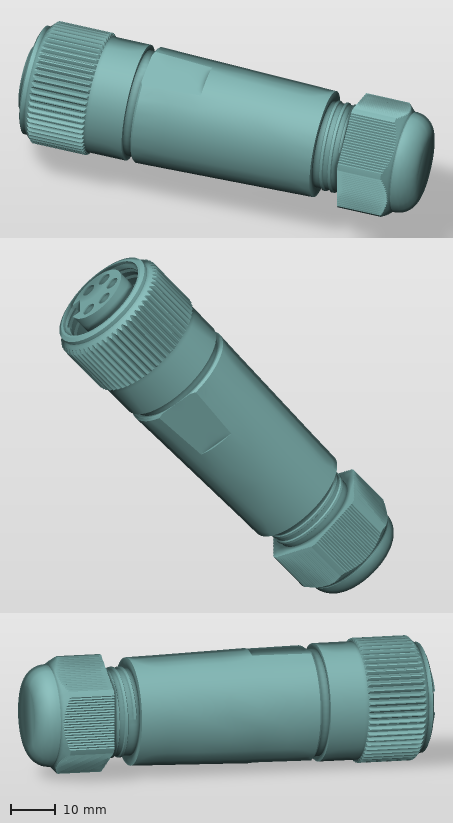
import cadquery as cq
import math


TOTAL_LENGTH = 92.75
COLLAR_FRONT = 1.5
COLLAR_LIP_END = 1.95
COLLAR_CONE_START = 2.9
KNURL_START = 4.45
KNURL_END = 16.8
RING_START = 17.2
RING_END = 25.9
BODY_START = 27.8
BODY_END = 69.4
NUT_START = 75.7
DOME_START = 88.0

LIP_FACE_RADIUS = 11.5
LIP_RADIUS = 12.4
KNURL_RADIUS = 14.0
KNURL_GROOVES = 58
KNURL_GROOVE_WIDTH = 1.3
KNURL_ROOT_WIDTH = 0.4
RING_RADIUS = 13.3
KNURL_DEPTH = KNURL_RADIUS - RING_RADIUS

MOUTH_RADIUS = 10.9
LINER_RADIUS = 11.2
BORE_RADIUS = 10.2
MOUTH_DEPTH = 0.7
SHOULDER_X = 7.9
SHOULDER_RADIUS = 9.1
FLOOR_X = 9.7
INSERT_RADIUS = 7.2
CONTACT_RADIUS = 1.6
CONTACT_CIRCLE_RADIUS = 4.5
CONTACT_DEPTH = 0.5
CONTACT_POSITIONS = 6
KEYWAY_WIDTH = 4.8
KEYWAY_FLOOR = 4.8

NECK_RADIUS = 12.1
BODY_FRONT_RADIUS = 13.3
BODY_REAR_RADIUS = 12.15
BODY_EDGE = 0.5
FLAT_LENGTH = 13.9
FLAT_HEIGHT = BODY_REAR_RADIUS

THREAD_PITCH = 1.95
THREAD_CORE_RADIUS = 9.8
THREAD_CREST_RADIUS = 10.2
THREAD_ROOT_WIDTH = 1.1
THREAD_CREST_WIDTH = 0.6
THREAD_START = 70.4
THREAD_LENGTH = 4.6
SOCKET_THREAD_START = 3.0
SOCKET_THREAD_LENGTH = 3.9
THREAD_OVERLAP = 0.2

NUT_CORNER_RADIUS = 13.3
NUT_HALF_FLATS = 11.9
NUT_SIDES = 6
NUT_GROOVES_PER_SIDE = 20
NUT_GROOVE_PITCH = 0.6
NUT_GROOVE_DEPTH = 0.3
NUT_CHAMFER_END = 87.7
NUT_CHAMFER_RADIUS = 11.3
DOME_RADIUS = 11.5
DOME_FILLET = 4.6


def turned(points):
    """Revolve an (x, radius) outline, closed along the axis, about X."""
    outline = [(points[0][0], 0), *points, (points[-1][0], 0)]
    return cq.Workplane("XY").polyline(outline).close().revolve(360, (0, 0), (1, 0))


def cylinder(start, end, radius):
    return turned([(start, radius), (end, radius)])


def helical_ridge(start, length, base_radius, tip_radius):
    """Right-handed trapezoidal thread about X, beginning on the +Y side."""
    half_root = THREAD_ROOT_WIDTH / 2
    half_crest = THREAD_CREST_WIDTH / 2
    helix = cq.Workplane(obj=cq.Wire.makeHelix(THREAD_PITCH, length, base_radius))
    ridge = (
        cq.Workplane("XZ")
        .polyline(
            [
                (base_radius, -half_root),
                (tip_radius, -half_crest),
                (tip_radius, half_crest),
                (base_radius, half_root),
            ]
        )
        .close()
        .sweep(helix, isFrenet=True)
    )
    along_x = ridge.rotate((0, 0, 0), (0, 1, 0), 90).rotate((0, 0, 0), (1, 0, 0), 90)
    return along_x.translate((start, 0, 0))


def make_knurl_grooves():
    """Trapezoidal grooves around the grip, running straight past the tips."""
    half_root = KNURL_ROOT_WIDTH / 2
    half_width = KNURL_GROOVE_WIDTH / 2
    half_outer = 2 * half_width - half_root
    outer = KNURL_RADIUS + KNURL_DEPTH
    groove = (
        cq.Workplane("YZ", origin=(COLLAR_CONE_START, 0, 0))
        .polyline(
            [
                (-half_root, RING_RADIUS),
                (half_root, RING_RADIUS),
                (half_outer, outer),
                (-half_outer, outer),
            ]
        )
        .close()
        .extrude(RING_START - COLLAR_CONE_START)
    )
    grooves = [
        groove.rotate((0, 0, 0), (1, 0, 0), i * 360 / KNURL_GROOVES).val()
        for i in range(KNURL_GROOVES)
    ]
    return cq.Compound.makeCompound(grooves)


def make_grip():
    """Outer shell of the collar, knurled, open where the liner sits."""
    shell = turned(
        [
            (COLLAR_FRONT, LIP_FACE_RADIUS),
            (COLLAR_LIP_END, LIP_RADIUS),
            (COLLAR_CONE_START, LIP_RADIUS),
            (KNURL_START, KNURL_RADIUS),
            (KNURL_END, KNURL_RADIUS),
            (RING_START, RING_RADIUS),
            (RING_END, RING_RADIUS),
        ]
    )
    core = cylinder(COLLAR_FRONT, RING_END, LINER_RADIUS)
    return shell.cut(core).cut(make_knurl_grooves())


def make_liner():
    """Inner part of the collar, with the stepped and threaded socket."""
    liner = cylinder(COLLAR_FRONT, RING_END, LINER_RADIUS)
    mouth_end = COLLAR_FRONT + MOUTH_DEPTH
    cavity = turned(
        [
            (COLLAR_FRONT, MOUTH_RADIUS),
            (mouth_end, MOUTH_RADIUS),
            (mouth_end + MOUTH_RADIUS - BORE_RADIUS, BORE_RADIUS),
            (SHOULDER_X, BORE_RADIUS),
            (SHOULDER_X, SHOULDER_RADIUS),
            (FLOOR_X, SHOULDER_RADIUS),
        ]
    )
    thread = helical_ridge(
        SOCKET_THREAD_START, SOCKET_THREAD_LENGTH, BORE_RADIUS - THREAD_OVERLAP, MOUTH_RADIUS
    )
    return liner.cut(cavity).cut(thread)


def make_insert():
    insert = cylinder(0, FLOOR_X, INSERT_RADIUS)
    for i in range(1, CONTACT_POSITIONS):
        angle = 2 * math.pi * i / CONTACT_POSITIONS
        centre_y = CONTACT_CIRCLE_RADIUS * math.cos(angle)
        centre_z = CONTACT_CIRCLE_RADIUS * math.sin(angle)
        contact = cylinder(0, CONTACT_DEPTH, CONTACT_RADIUS)
        insert = insert.cut(contact.translate((0, centre_y, centre_z)))
    keyway = cq.Workplane("XY").box(
        FLOOR_X, INSERT_RADIUS, KEYWAY_WIDTH, centered=(False, False, True)
    )
    return insert.cut(keyway.translate((0, KEYWAY_FLOOR, 0)))


def make_body():
    neck = cylinder(RING_END, BODY_START, NECK_RADIUS)
    body = turned(
        [
            (BODY_START, BODY_FRONT_RADIUS - BODY_EDGE),
            (BODY_START + BODY_EDGE, BODY_FRONT_RADIUS),
            (BODY_END, BODY_REAR_RADIUS),
        ]
    )
    flat = cq.Workplane("XY").box(
        FLAT_LENGTH, 2 * BODY_FRONT_RADIUS, BODY_FRONT_RADIUS, centered=(False, True, False)
    )
    top_flat = flat.translate((BODY_START, 0, FLAT_HEIGHT))
    return neck.union(body.cut(top_flat).cut(top_flat.mirror("XY")))


def make_threaded_neck():
    core = cylinder(BODY_END, NUT_START, THREAD_CORE_RADIUS)
    thread = helical_ridge(
        THREAD_START, THREAD_LENGTH, THREAD_CORE_RADIUS - THREAD_OVERLAP, THREAD_CREST_RADIUS
    )
    return core.union(thread)


def make_nut():
    chamfer_start = NUT_CHAMFER_END - (NUT_CORNER_RADIUS - NUT_CHAMFER_RADIUS)
    blank = turned(
        [
            (NUT_START, NUT_CORNER_RADIUS),
            (chamfer_start, NUT_CORNER_RADIUS),
            (NUT_CHAMFER_END, NUT_CHAMFER_RADIUS),
        ]
    )
    half_side = NUT_HALF_FLATS * math.tan(math.pi / NUT_SIDES)
    half_ribs = NUT_GROOVES_PER_SIDE * NUT_GROOVE_PITCH / 2
    outline = [(0, 0), (NUT_HALF_FLATS, -half_side)]
    for i in range(NUT_GROOVES_PER_SIDE):
        rib = -half_ribs + i * NUT_GROOVE_PITCH
        outline.append((NUT_HALF_FLATS, rib))
        outline.append((NUT_HALF_FLATS - NUT_GROOVE_DEPTH, rib + NUT_GROOVE_PITCH / 2))
    outline += [(NUT_HALF_FLATS, half_ribs), (NUT_HALF_FLATS, half_side)]
    side = (
        cq.Workplane("YZ", origin=(NUT_START, 0, 0))
        .polyline(outline)
        .close()
        .extrude(NUT_CHAMFER_END - NUT_START)
    )
    hexagon = side
    for i in range(1, NUT_SIDES):
        hexagon = hexagon.union(side.rotate((0, 0, 0), (1, 0, 0), i * 360 / NUT_SIDES))
    return blank.intersect(hexagon)


def make_dome():
    groove = cylinder(NUT_CHAMFER_END, DOME_START, NUT_CHAMFER_RADIUS)
    dome = cylinder(DOME_START, TOTAL_LENGTH, DOME_RADIUS).faces(">X").edges().fillet(DOME_FILLET)
    return groove.union(dome)


result = (
    make_liner()
    .union(make_insert())
    .union(make_grip(), glue=True)
    .union(make_body())
    .union(make_threaded_neck())
    .union(make_nut())
    .union(make_dome())
)